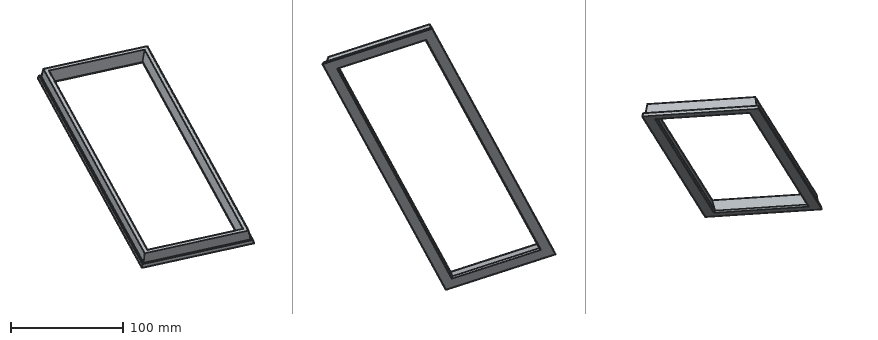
import cadquery as cq

length = 284.0
width = 106.2
height = 12.8

flange_top_inset = 0.9
wall_foot_inset = 2.5
wall_top_inset = 4.0
opening_top_inset = 8.0
opening_throat_inset = 11.0
opening_bottom_inset = 10.0

flange_height = 3.5
throat_height = 1.7


def tapered_block(bottom_inset, top_inset, bottom_z, top_z):
    """Rectangular block whose four sides slope between two insets."""
    return (
        cq.Workplane("XY")
        .workplane(offset=bottom_z)
        .rect(length - 2 * bottom_inset, width - 2 * bottom_inset)
        .workplane(offset=top_z - bottom_z)
        .rect(length - 2 * top_inset, width - 2 * top_inset)
        .loft(ruled=True)
    )


flange = tapered_block(0, flange_top_inset, 0, flange_height)

wall = tapered_block(wall_foot_inset, wall_top_inset, flange_height, height)

opening_taper = tapered_block(opening_throat_inset, opening_top_inset, throat_height, height)
opening_flare = tapered_block(opening_bottom_inset, opening_throat_inset, 0, throat_height)

result = flange.union(wall).cut(opening_taper).cut(opening_flare)